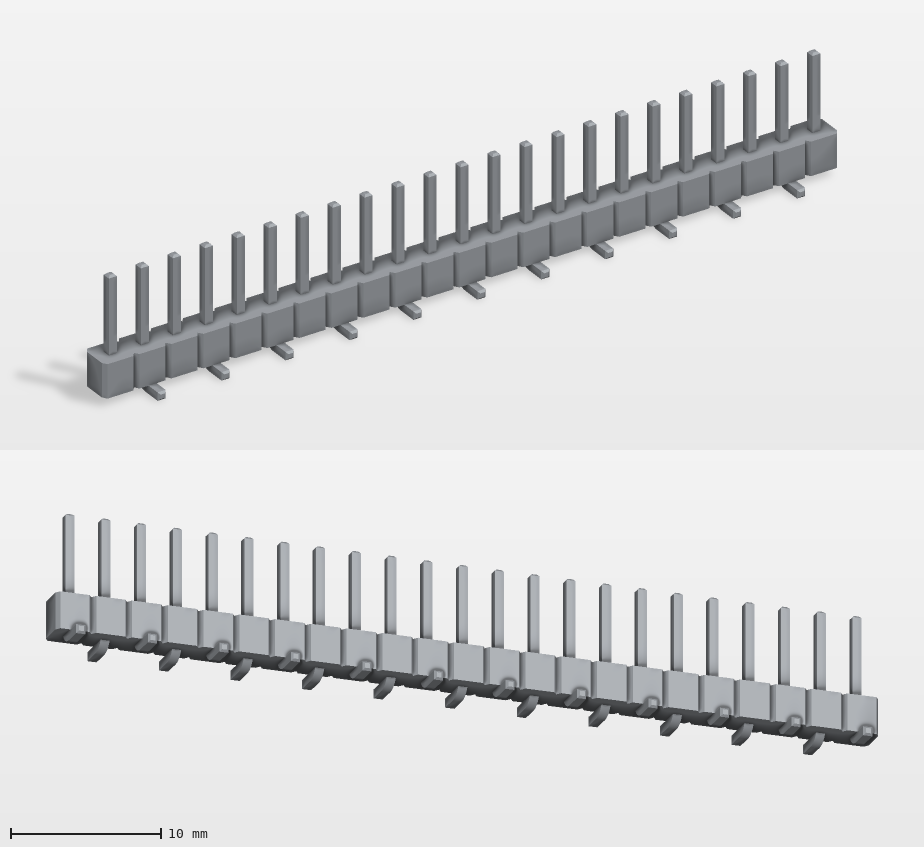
import cadquery as cq

row_length = 58.4
pin_count = 23
pitch = row_length / pin_count
overall_height = 9.3
overall_width = 5.0

body_width = pitch
body_height = 2.6
corner_x = 0.35
corner_y = 0.25

pin_size = 0.65
tip_taper = 0.145
bend_radius = 1.2

body_bottom = pin_size
half_pin = pin_size / 2


def make_block(y):
    """Body block around the pin at y, with its four vertical edges cut off."""
    half_x = body_width / 2
    half_y = pitch / 2
    corners = []
    for sign_x, sign_y in ((1, 1), (-1, 1), (-1, -1), (1, -1)):
        side_point = (sign_x * half_x, sign_y * (half_y - corner_y))
        end_point = (sign_x * (half_x - corner_x), sign_y * half_y)
        corners += [side_point, end_point] if sign_x * sign_y > 0 else [end_point, side_point]
    outline = cq.Workplane("XY", origin=(0, y, body_bottom)).polyline(corners).close()
    return outline.extrude(body_height)


def make_pin(y, direction):
    """Upright pin at y with its lead pointing to +X (direction 1) or -X (direction -1)."""
    post = (
        cq.Workplane("XY", origin=(0, y, 0))
        .rect(pin_size, pin_size)
        .extrude(overall_height)
        .faces(">Z")
        .chamfer(tip_taper)
    )
    heel = -half_pin
    lead = (
        cq.Workplane("YZ", origin=(heel, y, half_pin))
        .rect(pin_size, pin_size)
        .extrude(overall_width / 2 - heel)
        .faces(">X")
        .chamfer(tip_taper)
    )
    bend_waste = (
        cq.Workplane("XZ", origin=(0, y + half_pin, 0))
        .moveTo(heel, 0)
        .lineTo(heel + bend_radius, 0)
        .radiusArc((heel, bend_radius), bend_radius)
        .close()
        .extrude(pin_size)
    )
    pin = post.union(lead).cut(bend_waste)
    return pin if direction > 0 else pin.rotate((0, y, 0), (0, y, 1), 180)


result = cq.Workplane("XY")
for index in range(pin_count):
    pin_y = (index - (pin_count - 1) / 2) * pitch
    lead_direction = -1 if index % 2 == 0 else 1
    result = result.union(make_block(pin_y)).union(make_pin(pin_y, lead_direction))